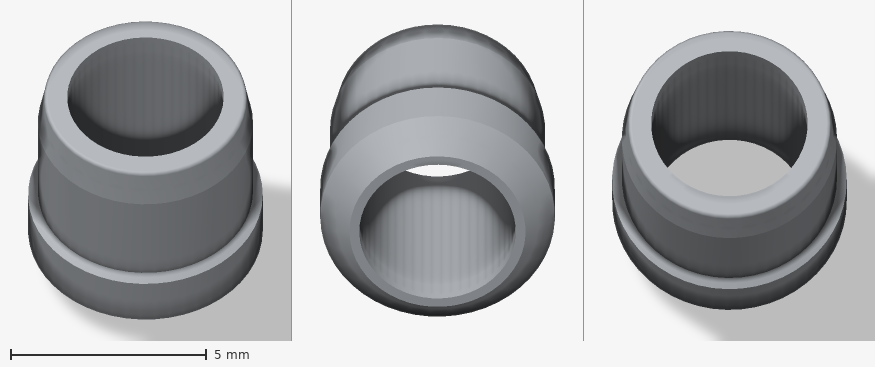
import cadquery as cq
import math

total_height = 6.0
bore_radius = 4.0 / 2
sleeve_radius = 5.5 / 2
collar_radius = 6.0 / 2

base_chamfer = 0.75
shoulder_top = 2.3
shoulder_angle = 30.0
taper_height = 1.0
tip_radius = 5.15 / 2
rim_fillet = 0.1

base_radius = collar_radius - base_chamfer
shoulder_drop = (collar_radius - sleeve_radius) * math.tan(math.radians(shoulder_angle))


def revolved_sleeve():
    """Half section in the XZ plane, turned about the Z axis."""
    profile = (
        cq.Workplane("XZ")
        .moveTo(bore_radius, 0)
        .lineTo(base_radius, 0)
        .lineTo(collar_radius, base_chamfer)
        .lineTo(collar_radius, shoulder_top - shoulder_drop)
        .lineTo(sleeve_radius, shoulder_top)
        .lineTo(sleeve_radius, total_height - taper_height)
        .lineTo(tip_radius, total_height)
        .lineTo(bore_radius, total_height)
        .close()
    )
    return profile.revolve(360, (0, 0, 0), (0, 1, 0))


def round_rim(body):
    """Round the outer edge of the top rim, leaving the bore edge sharp."""
    outer_edge = cq.selectors.RadiusNthSelector(-1)
    return body.faces(">Z").edges(outer_edge).fillet(rim_fillet)


result = round_rim(revolved_sleeve())